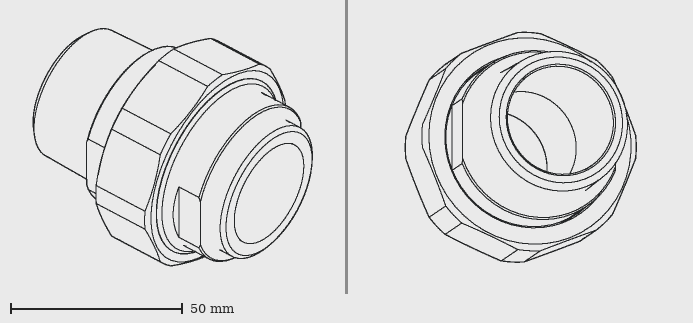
import cadquery as cq
import math

length = 73.5
bore_radius = 32.0 / 2
bore_chamfer = 0.5

collar_radius = 50.0 / 2
collar_chamfer = 0.5
root_fillet = 0.5
flat_offset = 23.1
flat_wall_run = 0.6

spigot_tip_radius = 37.2 / 2
spigot_start_radius = 20.65
spigot_chamfer_length = 2.05
spigot_root_radius = 21.25
tail_collar_start = 23.9
tail_flat_end = 35.7
tail_flange_radius = 54.4 / 2
tail_flange_thickness = 3.7

nut_start = 33.95
nut_end = 54.1
nut_corner_radius = 64.7 / 2
nut_flat_distance = 31.0
nut_sides = 8
nut_face_radius = 30.5
nut_chamfer_length = 0.9
nut_lip_thickness = 3.7
nut_lip_radius = 50.5 / 2
nut_lip_chamfer = 0.45

thread_radius = 55.85 / 2
thread_end = 55.1
thread_chamfer = 1.2
body_flat_start = 58.5
body_collar_end = 66.6
stub_radius = 42.4 / 2
stub_chamfer_length = 1.0
stub_tip_radius = 19.8

lip_inner_face = nut_start + nut_lip_thickness
joint_face = lip_inner_face + tail_flange_thickness

arc_factor = math.sqrt(0.5)


def revolve(profile):
    """Close a profile of (x, radius) points and turn it around the X axis."""
    return profile.close().revolve(360, (0, 0, 0), (1, 0, 0))


def fillet_middle(root_x, root_radius, side):
    """Middle point of a concave root fillet; side is -1 or +1 along X from the shoulder."""
    offset = root_fillet * (1 - arc_factor)
    return root_x + side * offset, root_radius + offset


def cut_flats(body, free_x, wall_x, direction):
    """Cut two wrench flats, from free_x to a sloping wall whose foot is at wall_x."""
    outer = collar_radius + 0.7
    run = flat_wall_run * (outer - flat_offset) / (collar_radius - flat_offset)
    for side in (-1, 1):
        cutter = (
            cq.Workplane("XY")
            .moveTo(free_x, side * flat_offset)
            .lineTo(wall_x, side * flat_offset)
            .lineTo(wall_x + direction * run, side * outer)
            .lineTo(free_x, side * outer)
            .close()
            .extrude(collar_radius, both=True)
        )
        body = body.cut(cutter)
    return body


def make_tailpiece():
    """Tapered spigot, collar with wrench flats, and the flange held by the nut."""
    profile = (
        cq.Workplane("XY")
        .moveTo(0, bore_radius + bore_chamfer)
        .lineTo(0, spigot_tip_radius)
        .lineTo(spigot_chamfer_length, spigot_start_radius)
        .lineTo(tail_collar_start - root_fillet, spigot_root_radius)
        .threePointArc(
            fillet_middle(tail_collar_start, spigot_root_radius, -1),
            (tail_collar_start, spigot_root_radius + root_fillet),
        )
        .lineTo(tail_collar_start, collar_radius - collar_chamfer)
        .lineTo(tail_collar_start + collar_chamfer, collar_radius)
        .lineTo(lip_inner_face, collar_radius)
        .lineTo(lip_inner_face, tail_flange_radius)
        .lineTo(joint_face, tail_flange_radius)
        .lineTo(joint_face, bore_radius)
        .lineTo(bore_chamfer, bore_radius)
    )
    return cut_flats(revolve(profile), tail_collar_start, tail_flat_end, 1)


def make_nut():
    """Octagon with rounded corners, conical end chamfers and a stepped bore."""
    chamfered_blank = revolve(
        cq.Workplane("XY")
        .moveTo(nut_start, nut_lip_radius + nut_lip_chamfer)
        .lineTo(nut_start, nut_face_radius)
        .lineTo(nut_start + nut_chamfer_length, nut_corner_radius)
        .lineTo(nut_end - nut_chamfer_length, nut_corner_radius)
        .lineTo(nut_end, nut_face_radius)
        .lineTo(nut_end, thread_radius)
        .lineTo(lip_inner_face, thread_radius)
        .lineTo(lip_inner_face, nut_lip_radius)
        .lineTo(nut_start + nut_lip_chamfer, nut_lip_radius)
    )
    corner_diameter = 2 * nut_flat_distance / math.cos(math.pi / nut_sides)
    octagon = (
        cq.Workplane("YZ", origin=(nut_start, 0, 0))
        .polygon(nut_sides, corner_diameter)
        .extrude(nut_end - nut_start)
    )
    return chamfered_blank.intersect(octagon)


def make_end_body():
    """Threaded head inside the nut, collar with wrench flats, and a plain stub."""
    stub_start = body_collar_end + root_fillet
    profile = (
        cq.Workplane("XY")
        .moveTo(joint_face, bore_radius)
        .lineTo(joint_face, thread_radius)
        .lineTo(thread_end - thread_chamfer, thread_radius)
        .lineTo(thread_end, thread_radius - thread_chamfer)
        .lineTo(thread_end, collar_radius + root_fillet)
        .threePointArc(
            fillet_middle(thread_end, collar_radius, 1),
            (thread_end + root_fillet, collar_radius),
        )
        .lineTo(body_collar_end - collar_chamfer, collar_radius)
        .lineTo(body_collar_end, collar_radius - collar_chamfer)
        .lineTo(body_collar_end, stub_radius + root_fillet)
        .threePointArc(
            fillet_middle(body_collar_end, stub_radius, 1),
            (stub_start, stub_radius),
        )
        .lineTo(length - stub_chamfer_length, stub_radius)
        .lineTo(length, stub_tip_radius)
        .lineTo(length, bore_radius)
    )
    return cut_flats(revolve(profile), body_collar_end, body_flat_start, -1)


tailpiece = make_tailpiece()
nut = make_nut()
end_body = make_end_body()

result = cq.Compound.makeCompound([tailpiece.val(), nut.val(), end_body.val()])